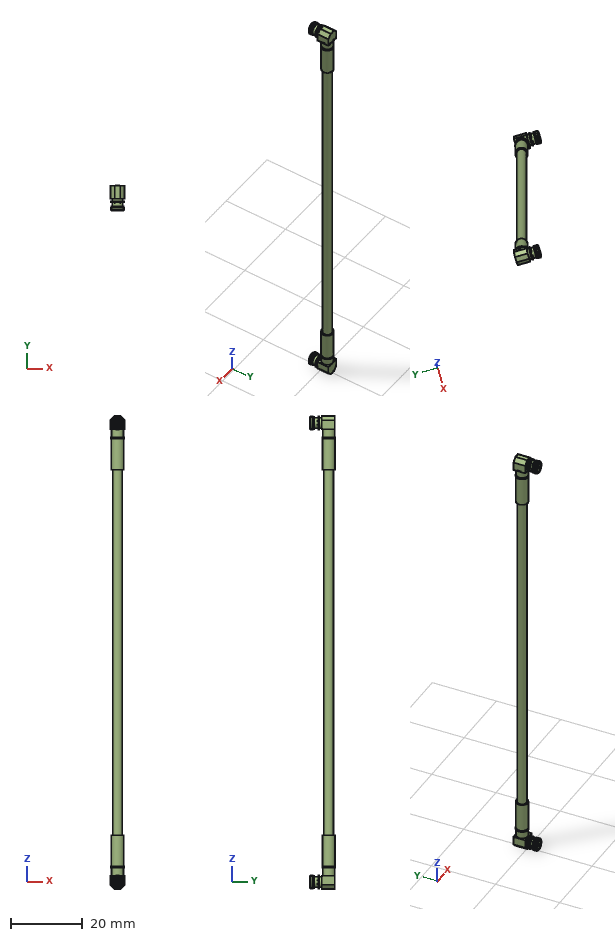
import cadquery as cq

total_length = 131.7
half_length = total_length / 2

cable_diameter = 2.8
sleeve_diameter = 3.5
sleeve_length = 8.7
sleeve_outer_z = 59.5
sleeve_inner_z = sleeve_outer_z - sleeve_length

block_width = 4.0
block_chamfer = 1.2
block_height = 3.7
block_back_y = 1.7
block_front_y = -2.0
block_inner_z = half_length - block_height

collar_diameter = 3.4
flange_diameter = 3.7
flange_thickness = 0.4

plug_z = half_length - block_width / 2
plug_tip_y = -5.3
plug_diameter = 3.7
plug_neck_diameter = 3.0
ring_back_y = -2.6
ring_front_y = -2.9
rim_back_y = -4.0
rim_front_y = -4.2
tip_back_y = -4.5
rim_diameter = 3.5
tip_chamfer = 0.3
bore_diameter = 2.4
bore_depth = 2.1
insulator_diameter = 1.6
insulator_recess = 0.5
pin_diameter = 0.7


def z_cylinder(diameter, z_start, z_end):
    return cq.Workplane("XY").workplane(offset=z_start).circle(diameter / 2).extrude(z_end - z_start)


def y_cylinder(diameter, y_back, y_front):
    """Cylinder on the plug axis, running from y_back toward -Y."""
    plane = cq.Workplane("XZ", origin=(0, y_back, plug_z))
    return plane.circle(diameter / 2).extrude(y_back - y_front)


def elbow_block():
    depth = block_back_y - block_front_y
    block = (
        cq.Workplane("XY", origin=(0, (block_back_y + block_front_y) / 2, block_inner_z))
        .rect(block_width, depth)
        .extrude(block_height)
    )
    return block.faces(">Z").edges("|Y").chamfer(block_chamfer)


def elbow_neck():
    collar = z_cylinder(collar_diameter, sleeve_outer_z, block_inner_z)
    flange = z_cylinder(flange_diameter, sleeve_outer_z, sleeve_outer_z + flange_thickness)
    return collar.union(flange)


def plug():
    body = y_cylinder(plug_neck_diameter, block_front_y, plug_tip_y)
    body = body.union(y_cylinder(plug_diameter, ring_back_y, ring_front_y))
    body = body.union(y_cylinder(rim_diameter, rim_back_y, rim_front_y))
    tip = y_cylinder(plug_diameter, tip_back_y, plug_tip_y)
    return body.union(tip.faces("<Y").chamfer(tip_chamfer))


def plug_bore():
    """Annular socket in the plug's end, around a shallower insulator that carries the pin."""
    bore_end_y = plug_tip_y + bore_depth
    bore = y_cylinder(bore_diameter, bore_end_y, plug_tip_y)
    bore = bore.cut(y_cylinder(insulator_diameter, bore_end_y, plug_tip_y + insulator_recess))
    return bore.cut(y_cylinder(pin_diameter, bore_end_y, plug_tip_y))


def make_connector():
    return elbow_block().union(elbow_neck()).union(plug()).cut(plug_bore())


def make_sleeve():
    outer = z_cylinder(sleeve_diameter, sleeve_inner_z, sleeve_outer_z)
    return outer.cut(z_cylinder(cable_diameter, sleeve_inner_z, sleeve_outer_z))


def make_cable():
    return z_cylinder(cable_diameter, -sleeve_outer_z, sleeve_outer_z)


bodies = [make_cable().val()]
for make_body in (make_connector, make_sleeve):
    top_body = make_body()
    bodies.append(top_body.val())
    bodies.append(top_body.mirror("XY").val())

result = cq.Compound.makeCompound(bodies)